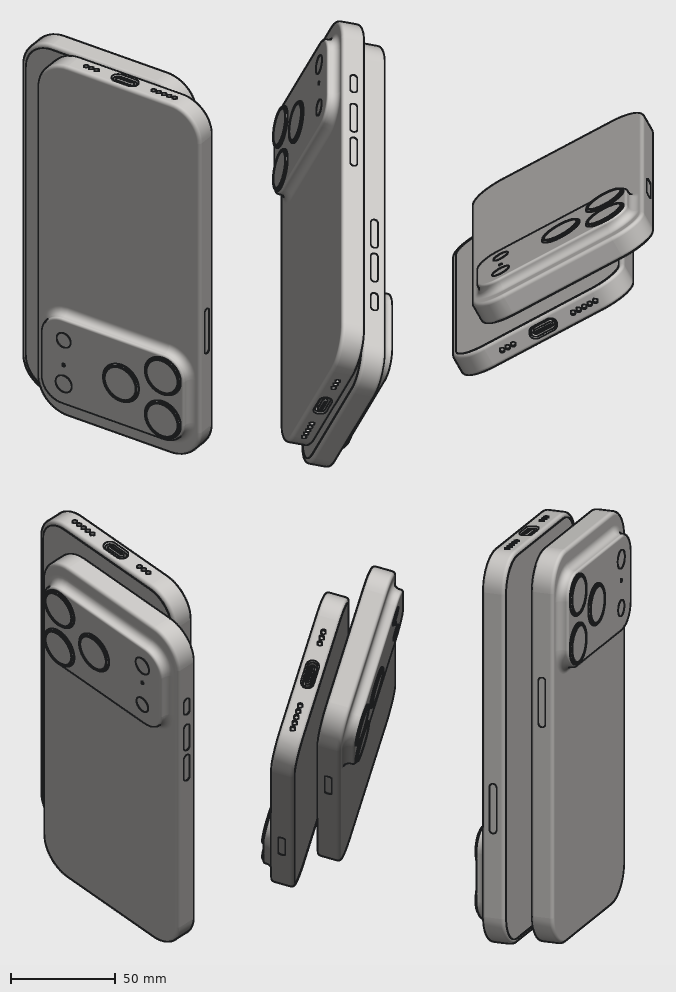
import cadquery as cq

BODY_WIDTH = 93.5
BODY_HEIGHT = 197.8
BODY_THICKNESS = 11.7
BODY_CORNER_RADIUS = 17.1
BODY_EDGE_RADIUS = 1.8
MID_DEPTH = BODY_THICKNESS / 2

SCREEN_MARGIN = 2.5
SCREEN_DEPTH = 0.2

PLATEAU_HEIGHT = 5.5
PLATEAU_CENTER_Z = 64.5
PLATEAU_CORNER_X = 29.2
PLATEAU_CORNER_Z = 12.3
PLATEAU_CORNER_RADIUS = 11.7
PLATEAU_TOP_RADIUS = 1.2
PLATEAU_BASE_RADIUS = 3.6
PLATEAU_TOP_Y = BODY_THICKNESS + PLATEAU_HEIGHT

LENS_RADIUS = 10.3
LENS_HEIGHT = 1.0
LENS_CHAMFER = 0.6
GLASS_RADIUS = 8.9
GLASS_DEPTH = 0.2
MIDDLE_LENS_X = 5.2

SENSOR_X = -27.8
SENSOR_DEPTH = 0.2
FLASH_RADIUS = 4.0
SCANNER_RADIUS = 4.6
MICROPHONE_RADIUS = 0.8
MICROPHONE_DEPTH = 1.0
MICROPHONE_RISE = 1.6

BUTTON_WIDTH = 3.6
BUTTON_HEIGHT = 0.5
BUTTON_EDGE_RADIUS = 0.3
ACTION_BUTTON_Z = 56.3
ACTION_BUTTON_LENGTH = 9.9
VOLUME_UP_Z = 36.7
VOLUME_PITCH = 19.4
VOLUME_BUTTON_LENGTH = 16.1
POWER_BUTTON_Z = 26.6
POWER_BUTTON_LENGTH = 25.0

PORT_WIDTH = 13.0
PORT_THICKNESS = 4.8
PORT_DEPTH = 6.0
PORT_CHAMFER = 0.8
MOUTH_ANGLE = 45
TONGUE_WIDTH = 10.0
TONGUE_THICKNESS = 2.5
TONGUE_CHAMFER = 0.8
SPEAKER_RADIUS = 1.2
SPEAKER_DEPTH = 2.0
SPEAKER_START_X = 16.3
SPEAKER_PITCH = 3.0
SPEAKER_COUNT_PLUS_X = 5
SPEAKER_COUNT_MINUS_X = 3

PHONE_GAP = 5.5
SHIFT_X = 20.2
SHIFT_Z = 3.8
HALF_TURN = 180


def plane_facing_back(y):
    """Work plane at depth y, with local X along +X, local Y along -Z and normal +Y."""
    return cq.Workplane(cq.Plane(origin=(0, y, 0), xDir=(1, 0, 0), normal=(0, 1, 0)))


def disc(x, z, radius, y, height):
    """Round plug starting at depth y; a negative height runs toward -Y."""
    return plane_facing_back(y).center(x, -z).circle(radius).extrude(height)


def body_block():
    """Plain slab with round corners and rounded front and back rims."""
    return (
        cq.Workplane("XY")
        .box(BODY_WIDTH, BODY_THICKNESS, BODY_HEIGHT)
        .translate((0, MID_DEPTH, 0))
        .edges("|Y")
        .fillet(BODY_CORNER_RADIUS)
        .faces("<Y or >Y")
        .edges()
        .fillet(BODY_EDGE_RADIUS)
    )


def screen_cutter():
    return (
        plane_facing_back(0)
        .rect(BODY_WIDTH - 2 * SCREEN_MARGIN, BODY_HEIGHT - 2 * SCREEN_MARGIN)
        .extrude(SCREEN_DEPTH)
        .edges("|Y")
        .fillet(BODY_CORNER_RADIUS - SCREEN_MARGIN)
    )


def add_plateau(body):
    """Body with the camera plateau, which flares out where it meets the back face."""
    width = 2 * (PLATEAU_CORNER_X + PLATEAU_CORNER_RADIUS)
    height = 2 * (PLATEAU_CORNER_Z + PLATEAU_CORNER_RADIUS)
    plateau = (
        plane_facing_back(BODY_THICKNESS)
        .center(0, -PLATEAU_CENTER_Z)
        .rect(width, height)
        .extrude(PLATEAU_HEIGHT)
        .edges("|Y")
        .fillet(PLATEAU_CORNER_RADIUS)
        .faces(">Y")
        .edges()
        .fillet(PLATEAU_TOP_RADIUS)
    )
    reach = 0.2
    base_edges = cq.selectors.BoxSelector(
        (-width / 2 - reach, BODY_THICKNESS - reach, PLATEAU_CENTER_Z - height / 2 - reach),
        (width / 2 + reach, BODY_THICKNESS + reach, PLATEAU_CENTER_Z + height / 2 + reach),
        boundingbox=True,
    )
    return body.union(plateau).edges(base_edges).fillet(PLATEAU_BASE_RADIUS)


def lens(x, z):
    """Raised ring with a chamfered rim and the glass set slightly below it."""
    top = PLATEAU_TOP_Y + LENS_HEIGHT
    barrel = disc(x, z, LENS_RADIUS, PLATEAU_TOP_Y, LENS_HEIGHT)
    barrel = barrel.faces(">Y").edges().chamfer(LENS_CHAMFER)
    return barrel.cut(disc(x, z, GLASS_RADIUS, top, -GLASS_DEPTH))


def button(side, z, length):
    """Pill-shaped button standing out of the side wall; side is -1 for -X and +1 for +X."""
    plane = cq.Plane(origin=(side * BODY_WIDTH / 2, MID_DEPTH, z), xDir=(0, 0, 1), normal=(side, 0, 0))
    outer_face = ">X" if side > 0 else "<X"
    return (
        cq.Workplane(plane)
        .slot2D(length, BUTTON_WIDTH)
        .extrude(BUTTON_HEIGHT)
        .faces(outer_face)
        .edges()
        .fillet(BUTTON_EDGE_RADIUS)
    )


def bottom_plane():
    """Work plane on the bottom edge, with local X along +X and normal -Z."""
    return cq.Workplane(
        cq.Plane(origin=(0, MID_DEPTH, -BODY_HEIGHT / 2), xDir=(1, 0, 0), normal=(0, 0, -1))
    )


def port_cutter():
    """Socket that widens at its mouth, less the tongue left standing in it."""
    mouth_width = PORT_WIDTH + 2 * PORT_CHAMFER
    mouth_thickness = PORT_THICKNESS + 2 * PORT_CHAMFER
    socket = bottom_plane().slot2D(PORT_WIDTH, PORT_THICKNESS).extrude(-PORT_DEPTH)
    mouth = (
        bottom_plane()
        .slot2D(mouth_width, mouth_thickness)
        .extrude(-PORT_CHAMFER, taper=MOUTH_ANGLE)
    )
    tongue = (
        bottom_plane()
        .slot2D(TONGUE_WIDTH, TONGUE_THICKNESS)
        .extrude(-PORT_DEPTH)
        .faces("<Z")
        .edges()
        .chamfer(TONGUE_CHAMFER)
    )
    return socket.union(mouth).cut(tongue)


def speaker_cutter(side, count):
    centers = [(side * (SPEAKER_START_X + i * SPEAKER_PITCH), 0) for i in range(count)]
    return bottom_plane().pushPoints(centers).circle(SPEAKER_RADIUS).extrude(-SPEAKER_DEPTH)


def make_phone():
    """Phone standing upright with its screen at y = 0 facing -Y and its camera toward +Y."""
    upper_z = PLATEAU_CENTER_Z + PLATEAU_CORNER_Z
    lower_z = PLATEAU_CENTER_Z - PLATEAU_CORNER_Z
    phone = add_plateau(body_block().cut(screen_cutter()))

    for x, z in [
        (PLATEAU_CORNER_X, upper_z),
        (PLATEAU_CORNER_X, lower_z),
        (MIDDLE_LENS_X, PLATEAU_CENTER_Z),
    ]:
        phone = phone.union(lens(x, z))
    phone = phone.cut(disc(SENSOR_X, lower_z, FLASH_RADIUS, PLATEAU_TOP_Y, -SENSOR_DEPTH))
    phone = phone.cut(disc(SENSOR_X, upper_z, SCANNER_RADIUS, PLATEAU_TOP_Y, -SENSOR_DEPTH))
    microphone_z = PLATEAU_CENTER_Z + MICROPHONE_RISE
    phone = phone.cut(disc(SENSOR_X, microphone_z, MICROPHONE_RADIUS, PLATEAU_TOP_Y, -MICROPHONE_DEPTH))

    for side, z, length in [
        (-1, ACTION_BUTTON_Z, ACTION_BUTTON_LENGTH),
        (-1, VOLUME_UP_Z, VOLUME_BUTTON_LENGTH),
        (-1, VOLUME_UP_Z - VOLUME_PITCH, VOLUME_BUTTON_LENGTH),
        (1, POWER_BUTTON_Z, POWER_BUTTON_LENGTH),
    ]:
        phone = phone.union(button(side, z, length))

    phone = phone.cut(port_cutter())
    phone = phone.cut(speaker_cutter(1, SPEAKER_COUNT_PLUS_X))
    return phone.cut(speaker_cutter(-1, SPEAKER_COUNT_MINUS_X))


rear_phone = make_phone().translate((-SHIFT_X / 2, PHONE_GAP / 2, -SHIFT_Z / 2))
front_phone = rear_phone.rotate((0, 0, 0), (1, 0, 0), HALF_TURN).translate((SHIFT_X, 0, 0))

result = cq.Compound.makeCompound([rear_phone.val(), front_phone.val()])